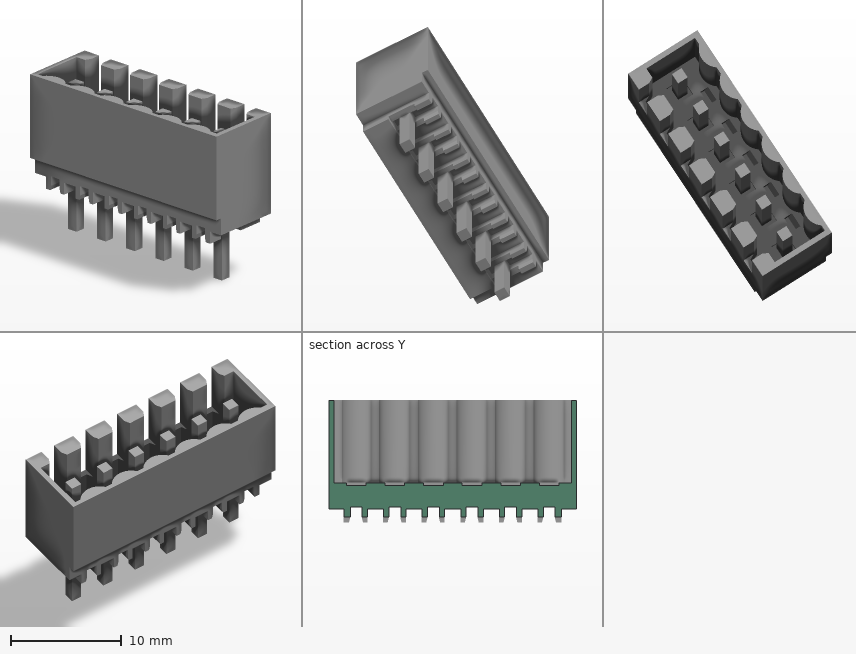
import cadquery as cq

CONTACTS = 6
PITCH = 3.5

LENGTH = 22.4
DEPTH = 7.45
HEIGHT = 11.05
BODY_BOTTOM = 1.19
UNDERCUT_DEPTH = 0.63
UNDERCUT_TOP = 2.85

FOOT_END_INSET = 1.32
STANDOFF_FRONT = 2.1
STANDOFF_BACK = 4.84
STANDOFF_HEIGHT = 0.5
KEY_WIDTH = 1.4
PIN_NOTCH_TOP = 1.37
PIN_NOTCH_FLARE = 0.11
PIN_NOTCH_FLARE_HEIGHT = 0.45

FLOOR = 3.58
END_WALL = 0.5
FRONT_WALL = 0.43
CORNER_WALL = 0.58
CAVITY_BACK = 5.82
SCALLOP_RADIUS = 1.75
SCALLOP_REACH = 1.12

GROOVE_BACK = 6.9
GROOVE_MOUTH = 1.93
GROOVE_BASE = 0.83
SLOT_WIDTH = 1.4
SLOT_FLOOR = 5.95

COLLAR_SIZE = 1.75
COLLAR_DEPTH = 0.22
POCKET_FRONT = 1.12
POCKET_SLOPE_END = 1.55
POCKET_BACK = 1.95
POCKET_DEPTH = 0.45

PIN_SIZE = 1.03
PIN_Y = 3.5
PIN_TOP = 9.85
PIN_BOTTOM = -4.5

first_contact = (LENGTH - (CONTACTS - 1) * PITCH) / 2
contact_places = [first_contact + i * PITCH for i in range(CONTACTS)]
gap_places = [x + PITCH / 2 for x in contact_places[:-1]]


def box(x_range, y_range, z_range):
    """Block between the given limits."""
    sizes = [high - low for low, high in (x_range, y_range, z_range)]
    corner = (x_range[0], y_range[0], z_range[0])
    return cq.Workplane("XY").box(*sizes, centered=False).translate(corner)


def centred_box(x, width, y_range, z_range):
    """Block of the given width, centred on x."""
    return box((x - width / 2, x + width / 2), y_range, z_range)


def make_blank():
    """Solid body with its front undercut, standing on two rows of feet."""
    body = box((0, LENGTH), (0, DEPTH), (BODY_BOTTOM, HEIGHT))
    body = body.cut(box((0, LENGTH), (0, UNDERCUT_DEPTH), (BODY_BOTTOM, UNDERCUT_TOP)))
    foot_span = (FOOT_END_INSET, LENGTH - FOOT_END_INSET)
    feet = box(foot_span, (UNDERCUT_DEPTH, DEPTH), (0, BODY_BOTTOM))
    standoff = box(foot_span, (STANDOFF_FRONT, STANDOFF_BACK), (0, STANDOFF_HEIGHT))
    return body.union(feet.cut(standoff))


def make_cavity():
    """Open space above the floor, bounded by the scalloped front wall."""
    cavity = box((END_WALL, LENGTH - END_WALL), (FRONT_WALL, CAVITY_BACK), (FLOOR, HEIGHT))
    right_corner = box(
        (contact_places[-1], LENGTH - END_WALL), (FRONT_WALL, CORNER_WALL), (FLOOR, HEIGHT)
    )
    cavity = cavity.cut(right_corner)
    for x in contact_places:
        scallop = (
            cq.Workplane("XY", origin=(x, SCALLOP_REACH - SCALLOP_RADIUS, FLOOR))
            .circle(SCALLOP_RADIUS)
            .extrude(HEIGHT - FLOOR)
        )
        cavity = cavity.cut(scallop)
    return cavity


def make_groove(x):
    """Tapered groove in the inner face of the back wall."""
    outline = [
        (-GROOVE_MOUTH / 2, CAVITY_BACK),
        (GROOVE_MOUTH / 2, CAVITY_BACK),
        (GROOVE_BASE / 2, GROOVE_BACK),
        (-GROOVE_BASE / 2, GROOVE_BACK),
    ]
    return (
        cq.Workplane("XY", origin=(x, 0, FLOOR)).polyline(outline).close().extrude(HEIGHT - FLOOR)
    )


def make_back_slot(x):
    """Slot through the back wall, open at the top."""
    return centred_box(x, SLOT_WIDTH, (CAVITY_BACK, DEPTH), (SLOT_FLOOR, HEIGHT))


def make_pin_notch(x):
    """Notch from the front feet to the back ones, flared at its lower end."""
    half = PIN_SIZE / 2
    outline = [
        (-half - PIN_NOTCH_FLARE, 0),
        (half + PIN_NOTCH_FLARE, 0),
        (half, PIN_NOTCH_FLARE_HEIGHT),
        (half, PIN_NOTCH_TOP),
        (-half, PIN_NOTCH_TOP),
        (-half, PIN_NOTCH_FLARE_HEIGHT),
    ]
    return (
        cq.Workplane("XZ", origin=(x, UNDERCUT_DEPTH, 0))
        .polyline(outline)
        .close()
        .extrude(UNDERCUT_DEPTH - STANDOFF_BACK)
    )


def make_key_notch(x):
    """Square notch between two contacts, from the front feet to the back ones."""
    return centred_box(x, KEY_WIDTH, (UNDERCUT_DEPTH, STANDOFF_BACK), (0, BODY_BOTTOM))


def make_floor_pocket(x):
    """Pocket in the cavity floor between two contacts, with a sloping front side."""
    outline = [
        (POCKET_FRONT, FLOOR),
        (POCKET_SLOPE_END, FLOOR - POCKET_DEPTH),
        (POCKET_BACK, FLOOR - POCKET_DEPTH),
        (POCKET_BACK, FLOOR),
    ]
    return (
        cq.Workplane("YZ", origin=(x - KEY_WIDTH / 2, 0, 0))
        .polyline(outline)
        .close()
        .extrude(KEY_WIDTH)
    )


def make_collar_recess(x):
    """Shallow square recess in the cavity floor around a pin."""
    y_range = (PIN_Y - COLLAR_SIZE / 2, PIN_Y + COLLAR_SIZE / 2)
    return centred_box(x, COLLAR_SIZE, y_range, (FLOOR - COLLAR_DEPTH, FLOOR))


def make_pin(x):
    """Square contact pin, which also shapes its own hole in the housing."""
    y_range = (PIN_Y - PIN_SIZE / 2, PIN_Y + PIN_SIZE / 2)
    return centred_box(x, PIN_SIZE, y_range, (PIN_BOTTOM, PIN_TOP))


def make_housing():
    housing = make_blank().cut(make_cavity())
    for x in contact_places:
        housing = housing.cut(make_groove(x)).cut(make_back_slot(x))
        housing = housing.cut(make_pin_notch(x)).cut(make_collar_recess(x))
        housing = housing.cut(make_pin(x))
    for x in gap_places:
        housing = housing.cut(make_key_notch(x)).cut(make_floor_pocket(x))
    return housing


housing = make_housing()
pins = [make_pin(x) for x in contact_places]

result = cq.Compound.makeCompound([housing.val(), *[pin.val() for pin in pins]])